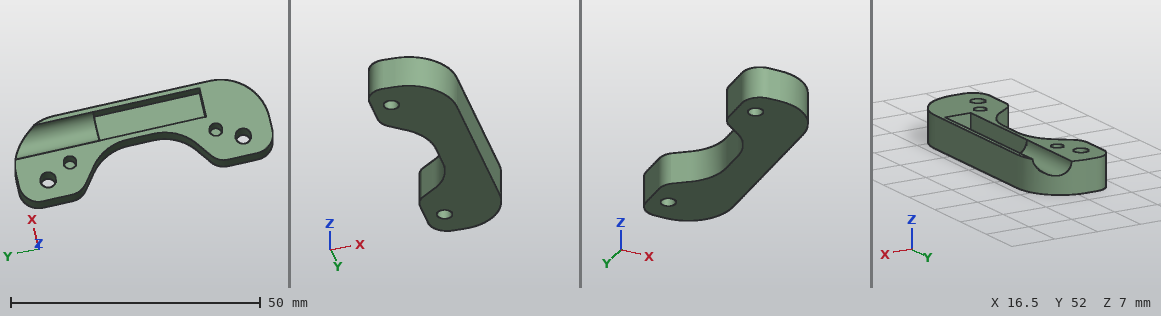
import cadquery as cq

length = 52.0
width = 16.5
height = 7.0
half_length = length / 2
base_thickness = 1.7

outer_radius = 10.0
corner_radius = 3.95
shoulder_radius = 3.95
waist_radius = 10.0
waist_x = 8.5
waist_straight_half = 2.6
ear_straight_end_y = 16.05
slope_outer = (1.25, 13.1)
slope_inner = (3.9, 11.1)

mount_diameter = 3.1
mount_x = 4.0
mount_y = 20.0
blind_diameter = 2.6
blind_x = 6.5
blind_y = 15.0

channel_width = 6.0
outer_wall = 1.0
channel_x = width - outer_wall - channel_width / 2
pocket_start_y = -13.7
pocket_end_y = 8.1


def mirrored(point):
    """Reflect a point across the bracket's line of symmetry."""
    return (point[0], -point[1])


def make_body():
    """Extrude the C-shaped outline, traced clockwise from the inner waist."""
    waist_end = (waist_x, waist_straight_half)
    ear_end = (0, ear_straight_end_y)
    left_corner = (0, half_length - corner_radius)
    end_left = (corner_radius, half_length)
    end_right = (width - outer_radius, half_length)
    right_corner = (width, half_length - outer_radius)
    return (
        cq.Workplane("XY")
        .moveTo(*mirrored(waist_end))
        .lineTo(*waist_end)
        .radiusArc(slope_inner, -waist_radius)
        .lineTo(*slope_outer)
        .radiusArc(ear_end, shoulder_radius)
        .lineTo(*left_corner)
        .radiusArc(end_left, corner_radius)
        .lineTo(*end_right)
        .radiusArc(right_corner, outer_radius)
        .lineTo(*mirrored(right_corner))
        .radiusArc(mirrored(end_right), outer_radius)
        .lineTo(*mirrored(end_left))
        .radiusArc(mirrored(left_corner), corner_radius)
        .lineTo(*mirrored(ear_end))
        .radiusArc(mirrored(slope_outer), shoulder_radius)
        .lineTo(*mirrored(slope_inner))
        .radiusArc(mirrored(waist_end), -waist_radius)
        .close()
        .extrude(height)
    )


def hole_pair(x, y, diameter, floor_z):
    """Two vertical cylinders at +y and -y, from floor_z up to the top face."""
    return (
        cq.Workplane("XY", origin=(0, 0, floor_z))
        .pushPoints([(x, y), (x, -y)])
        .circle(diameter / 2)
        .extrude(height - floor_z)
    )


def make_pocket():
    """Rectangular pocket whose floor is the top of the base layer."""
    pocket_length = pocket_end_y - pocket_start_y
    pocket_depth = height - base_thickness
    return cq.Workplane("XY", origin=(channel_x, pocket_start_y, base_thickness)).box(
        channel_width, pocket_length, pocket_depth, centered=(True, False, False)
    )


def make_groove():
    """Half-round groove with its axis on the top face, open at the +Y end."""
    return (
        cq.Workplane("XZ", origin=(channel_x, half_length, height))
        .circle(channel_width / 2)
        .extrude(half_length - pocket_end_y)
    )


result = (
    make_body()
    .cut(hole_pair(mount_x, mount_y, mount_diameter, 0))
    .cut(hole_pair(blind_x, blind_y, blind_diameter, base_thickness))
    .cut(make_pocket())
    .cut(make_groove())
)